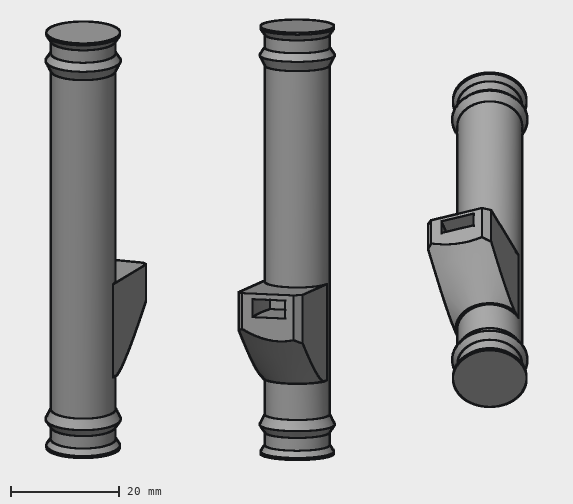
import cadquery as cq
import math

length = 80.0
tube_radius = 6.0
lip_radius = 6.8
collar_radius = 7.0
lip_edge = 0.4
lip_height = 1.6
collar_start = 4.0
collar_peak = 5.4
collar_end = 7.4

arm_start = 0.2
arm_bottom = 14.2
arm_top = 32.2
arm_angle = 138.2
face_angle = 146.0
face_distance = 13.9
corner_cut_x = 13.1
corner_cut_distance = 15.0
corner_cut_angle = 103.4

cone_base_radius = 6.3
cone_slope = 1.22

window_width = 6.2
window_bottom = 27.8
window_top = 31.1
window_depth = 8.8
window_curve_radius = 32.0

overall_reach = 24.0


def make_tube():
    """Revolve the tube with mirrored lips and collars."""
    end_profile = [
        (lip_radius, 0),
        (lip_radius, lip_edge),
        (tube_radius, lip_height),
        (tube_radius, collar_start),
        (collar_radius, collar_peak),
        (tube_radius, collar_end),
    ]
    mirrored_profile = [(radius, length - z) for radius, z in reversed(end_profile)]
    outline = [(0, 0)] + end_profile + mirrored_profile + [(0, length)]
    return cq.Workplane("XZ").polyline(outline).close().revolve(360, (0, 0), (0, 1))


def half_space(angle, distance):
    """Block on the tube's side of an upright plane facing the given angle."""
    size = 2 * overall_reach
    block = cq.Workplane("XY").box(size, 2 * size, length, centered=(False, True, False))
    return block.translate((distance - size, 0, 0)).rotate((0, 0, 0), (0, 0, 1), angle)


def make_arm():
    """Trim a straight bar to its outer face, corner cuts and conical underside."""
    arm = (
        cq.Workplane("XY", origin=(0, 0, arm_bottom))
        .box(overall_reach, 2 * tube_radius, arm_top - arm_bottom, centered=(False, True, False))
        .translate((arm_start, 0, 0))
        .rotate((0, 0, 0), (0, 0, 1), arm_angle)
    )
    arm = arm.intersect(half_space(face_angle, face_distance))
    arm = arm.intersect(half_space(180, corner_cut_x))
    arm = arm.intersect(half_space(corner_cut_angle, corner_cut_distance))

    cone_top = arm_bottom + cone_slope * (overall_reach - cone_base_radius)
    cone = (
        cq.Workplane("XZ")
        .polyline([
            (0, arm_bottom),
            (cone_base_radius, arm_bottom),
            (overall_reach, cone_top),
            (0, cone_top),
        ])
        .close()
        .revolve(360, (0, 0), (0, 1))
    )
    return arm.intersect(cone)


def make_window():
    """Blind rectangular slot that enters square to the outer face and curves gently inside."""
    mouth_middle = -face_distance * math.tan(math.radians(face_angle - arm_angle))
    height = window_top - window_bottom
    ring = (
        cq.Workplane("XY", origin=(face_distance, mouth_middle + window_curve_radius, window_bottom))
        .circle(window_curve_radius + window_width / 2)
        .circle(window_curve_radius - window_width / 2)
        .extrude(height)
    )
    stretch = (
        cq.Workplane("XY", origin=(face_distance - window_depth, mouth_middle, window_bottom))
        .box(window_depth, 2 * window_width, height, centered=(False, True, False))
    )
    return ring.intersect(stretch).rotate((0, 0, 0), (0, 0, 1), face_angle)


result = make_tube().union(make_arm()).cut(make_window())